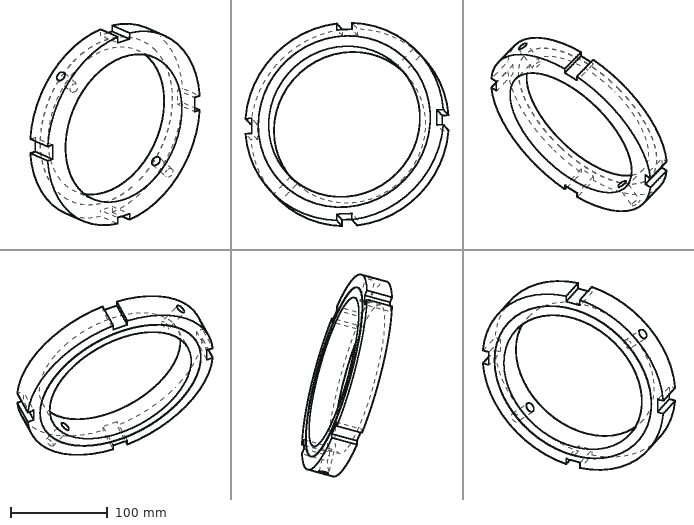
import cadquery as cq

total_width = 28.0
outer_diameter = 210.0
bore_diameter = 160.0

face_diameter = 182.0
face_height = 0.5

notch_count = 4
notch_width = 16.0
notch_floor_radius = 98.0

hole_diameter = 10.0
hole_angle = 45

outer_radius = outer_diameter / 2
face_start = -total_width / 2
body_start = face_start + face_height
body_width = total_width - face_height


def disc(diameter, start, width):
    """Solid disc along X, beginning at X = start."""
    return cq.Workplane("YZ").workplane(offset=start).circle(diameter / 2).extrude(width)


def notch_cutter(angle):
    """Block that opens one full-width notch through the rim."""
    cutter_height = 2 * (outer_radius - notch_floor_radius)
    block = cq.Workplane("XY").box(total_width, notch_width, cutter_height, centered=(True, True, False))
    return block.translate((0, 0, notch_floor_radius)).rotate((0, 0, 0), (1, 0, 0), angle)


def cross_hole_cutter():
    """Pin across the whole ring, piercing both walls from -Y+Z to +Y-Z."""
    pin = cq.Workplane("XY").circle(hole_diameter / 2).extrude(outer_diameter, both=True)
    return pin.rotate((0, 0, 0), (1, 0, 0), hole_angle)


body = disc(outer_diameter, body_start, body_width)
raised_face = disc(face_diameter, face_start, total_width)
bore = disc(bore_diameter, face_start, total_width)
result = body.union(raised_face).cut(bore)

for index in range(notch_count):
    result = result.cut(notch_cutter(index * 360 / notch_count))

result = result.cut(cross_hole_cutter())